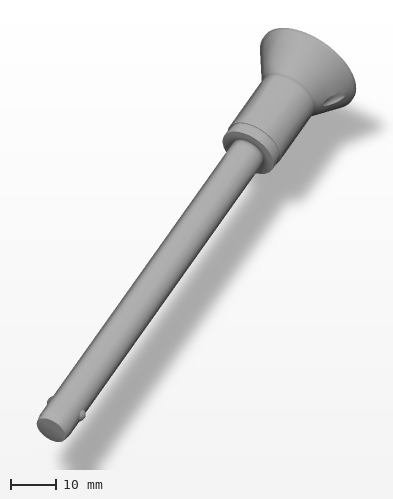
import cadquery as cq

total_length = 115.7

head_diameter = 24.0
head_radius = head_diameter / 2
rim_thickness = 0.8
head_length = 9.3
lanyard_hole_diameter = 3.0
lanyard_hole_offset = 9.3

sleeve_radius = 6.7
sleeve_end = 24.6
collar_radius = 6.5
collar_end = 27.3

shank_diameter = 8.0
shank_radius = shank_diameter / 2
tip_diameter = 7.3
tip_radius = tip_diameter / 2
tip_length = 1.7

ball_radius = 1.6
ball_span = 9.4
ball_from_tip = 6.8


def pin_body():
    """Revolve the stepped profile; local x is radius, local y runs along the pin."""
    profile = [
        (0, total_length),
        (head_radius, total_length),
        (head_radius, total_length - rim_thickness),
        (sleeve_radius, total_length - head_length),
        (sleeve_radius, total_length - sleeve_end),
        (collar_radius, total_length - sleeve_end),
        (collar_radius, total_length - collar_end),
        (shank_radius, total_length - collar_end),
        (shank_radius, tip_length),
        (tip_radius, 0),
        (0, 0),
    ]
    return cq.Workplane("XY").polyline(profile).close().revolve(360, (0, 0), (0, 1))


def lanyard_hole():
    """Cylinder along Y through the flange of the button."""
    return (
        cq.Workplane("XZ", origin=(lanyard_hole_offset, total_length, 0))
        .circle(lanyard_hole_diameter / 2)
        .extrude(head_length)
    )


def locking_ball(side):
    """Ball on the +X (side=1) or -X (side=-1) flank of the shank."""
    ball_center = side * (ball_span / 2 - ball_radius)
    return cq.Workplane("XY").sphere(ball_radius).translate((ball_center, ball_from_tip, 0))


result = pin_body().cut(lanyard_hole())
for side in (-1, 1):
    result = result.union(locking_ball(side))